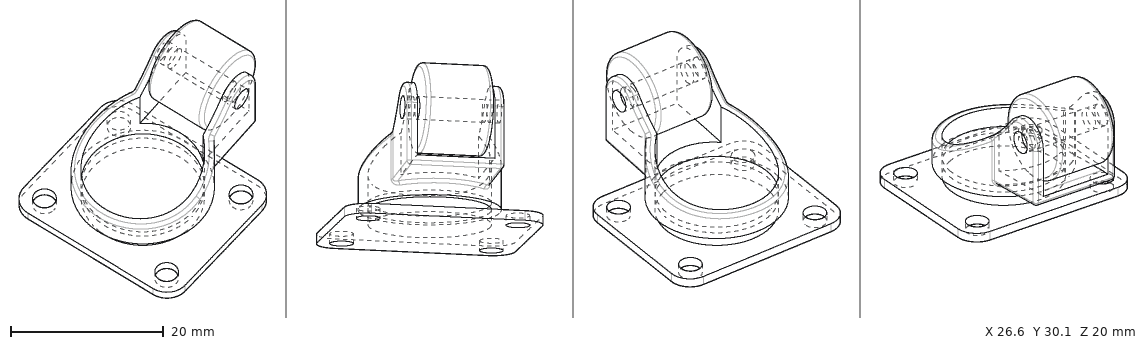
import cadquery as cq
import math

plate_length = 26.6
plate_width = 22.6
plate_thickness = 1.3
plate_corner_radius = 3.0
screw_spacing_x = 20.1
screw_spacing_y = 16.1
screw_hole_diameter = 3.1
boss_radius = 8.1
boss_top = 4.2

wheel_radius = 5.95
wheel_width = 9.0
wheel_edge_radius = 0.5
axle_hole_diameter = 3.0
axle_y = 12.85
axle_z = 14.04

wall = 1.3
ring_radius = boss_radius + wall
ring_bottom = 3.3
rim_lowest_height = 6.92
rim_radius = 24.5
lug_gap = 10.4
lug_outer_x = lug_gap / 2 + wall
lug_end_radius = 3.3
lug_back = axle_y + lug_end_radius
lug_bottom_at_back = 5.85
floor_slope = math.radians(4)
floor_top_at_back = 7.05
floor_flat_length = wall
fork_edge_radius = 0.5
clearance = 5.0


def make_base():
    plate = (
        cq.Workplane("XY")
        .rect(plate_length, plate_width)
        .extrude(plate_thickness)
        .edges("|Z")
        .fillet(plate_corner_radius)
    )
    boss = cq.Workplane("XY").circle(boss_radius).extrude(boss_top)
    return (
        plate.union(boss)
        .faces("<Z")
        .workplane()
        .rect(screw_spacing_x, screw_spacing_y, forConstruction=True)
        .vertices()
        .circle(screw_hole_diameter / 2)
        .cutBlind(-plate_thickness)
    )


def axle_hole(length):
    return (
        cq.Workplane("YZ", origin=(-length / 2, axle_y, axle_z))
        .circle(axle_hole_diameter / 2)
        .extrude(length)
    )


def make_wheel():
    return (
        cq.Workplane("YZ", origin=(-wheel_width / 2, axle_y, axle_z))
        .circle(wheel_radius)
        .extrude(wheel_width)
        .edges()
        .fillet(wheel_edge_radius)
        .cut(axle_hole(wheel_width))
    )


def polar_yz(center_y, center_z, radius, angle):
    return center_y + radius * math.cos(angle), center_z + radius * math.sin(angle)


def fork_side_outline():
    """Fork seen along X: round lug ends running into the hollow arc of the ring's rim."""
    rim_z = rim_lowest_height + rim_radius
    rim_y = axle_y - math.sqrt((rim_radius + lug_end_radius) ** 2 - (rim_z - axle_z) ** 2)
    touch_angle = math.atan2(rim_z - axle_z, rim_y - axle_y)
    touch = polar_yz(axle_y, axle_z, lug_end_radius, touch_angle)
    lug_middle = polar_yz(axle_y, axle_z, lug_end_radius, touch_angle / 2)
    rim_bottom = (rim_y, rim_lowest_height)
    front = -ring_radius - clearance
    rim_end = (front, rim_z - math.sqrt(rim_radius**2 - (front - rim_y) ** 2))
    return (
        cq.Workplane("YZ")
        .moveTo(front, ring_bottom)
        .lineTo(lug_back, ring_bottom)
        .lineTo(lug_back, axle_z)
        .threePointArc(lug_middle, touch)
        .threePointArc(rim_bottom, rim_end)
        .close()
        .extrude(ring_radius + clearance, both=True)
    )


def fork_blank():
    """Solid ring and lug block, rounded along all edges except the ring's bottom circle."""
    top = axle_z + lug_end_radius + clearance
    ring = cq.Workplane("XY").workplane(offset=ring_bottom).circle(ring_radius).extrude(top - ring_bottom)
    lugs = (
        cq.Workplane("YZ")
        .moveTo(0, lug_bottom_at_back - lug_back * math.tan(floor_slope))
        .lineTo(lug_back, lug_bottom_at_back)
        .lineTo(lug_back, top)
        .lineTo(0, top)
        .close()
        .extrude(lug_outer_x, both=True)
    )
    blank = ring.union(lugs).intersect(fork_side_outline())
    return blank.edges("not(<Z)").fillet(fork_edge_radius)


def ring_bore():
    return cq.Workplane("XY").workplane(offset=ring_bottom).circle(boss_radius).extrude(axle_z)


def wheel_space():
    """Space between the lugs, above a floor that is level at the back and then slopes to the ring."""
    flat_front = lug_back - floor_flat_length
    return (
        cq.Workplane("YZ")
        .moveTo(0, floor_top_at_back - flat_front * math.tan(floor_slope))
        .lineTo(flat_front, floor_top_at_back)
        .lineTo(lug_back + clearance, floor_top_at_back)
        .lineTo(lug_back + clearance, axle_z + wheel_radius)
        .lineTo(0, axle_z + wheel_radius)
        .close()
        .extrude(lug_gap / 2, both=True)
    )


def make_fork():
    return fork_blank().cut(ring_bore()).cut(wheel_space()).cut(axle_hole(2 * (lug_outer_x + clearance)))


base = make_base()
wheel = make_wheel()
fork = make_fork()
result = cq.Compound.makeCompound([base.val(), wheel.val(), fork.val()])